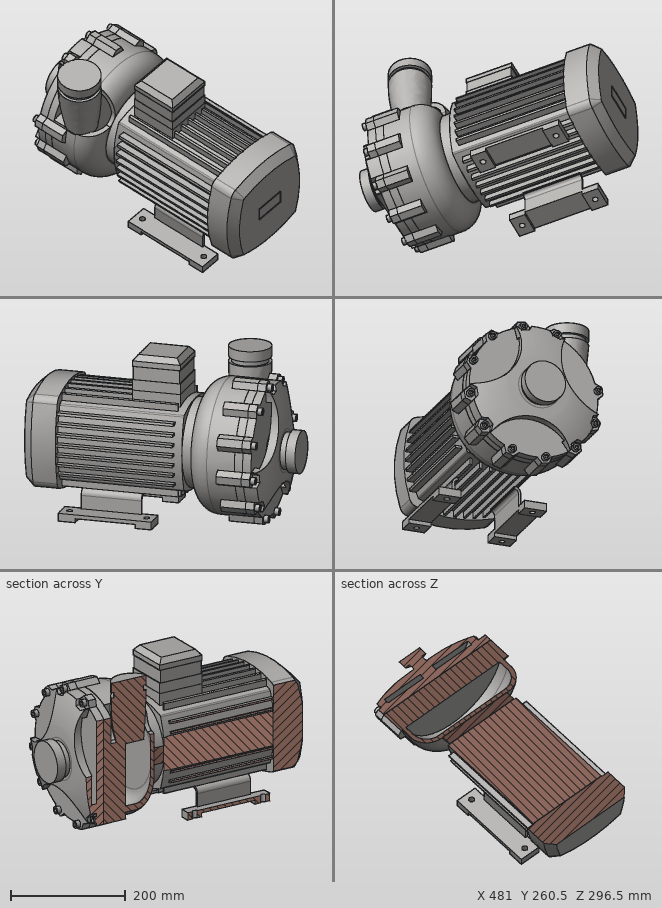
import cadquery as cq
import math

cut_overshoot = 2.5

inlet_collar_end = 17.5
dome_apex_x = 29.0
dome_rim_x = 45.0
cover_face_x = 54.5
volute_start_x = 69.7
volute_flange_end = 84.5
pad_end_x = 115.5
volute_end_x = 174.0
motor_start_x = 193.0
fin_start_x = 207.5
cowl_start_x = 419.0
cowl_edge_x = 463.0
cowl_end_x = 479.5
total_length = 481.0

pipe_collar_diameter = 76.0
pipe_neck_diameter = 66.0
pump_radius = 120.5
dome_flat_radius = 38.5
cavity_radius = 100.5
lobe_radius = 89.0
lobe_centre_radius = 145.7
first_lobe_angle = 35
lobe_count = 3
lobe_angles = [first_lobe_angle + i * 360 / lobe_count for i in range(lobe_count)]

bolt_circle_radius = 121.5
first_bolt_angle = 20
bolt_places = 12
unbolted_place = 4
padless_place = 3
bolt_pitch_angle = 360 / bolt_places
bolted_places = [i for i in range(bolt_places) if i != unbolted_place]
bolt_angles = [first_bolt_angle + i * bolt_pitch_angle for i in bolted_places]
volute_pad_angles = [first_bolt_angle + i * bolt_pitch_angle for i in bolted_places if i != padless_place]
bolt_head_diameter = 13.0
bolt_head_height = 8.0
socket_diameter = 6.5
socket_depth = 4.5
pad_half_depth = 9.5
pad_flat_half_width = 7.0
pad_half_width = 14.5
pad_corner_offset = -1.5

volute_radius = 121.0
volute_fillet = 39.0
volute_bore_diameter = 223.5
volute_back_thickness = 8.5
notch_wall_y = -55.5
notch_wall_foot_z = 68.0
notch_floor_y = -69.5
notch_floor_z = 44.5
notch_rim_y = -115.5
notch_rim_z = 38.5
outlet_x = 121.0
outlet_y = -90.0
outlet_top_z = 156.5
outlet_collar_z = 137.5
outlet_neck_z = 128.5
outlet_waist_y = -87.0
outlet_waist_z = 79.5
outlet_waist_diameter = 71.0
outlet_base_z = 36.0
outlet_base_diameter = 57.5
outlet_base_x = 125.0
outlet_base_y = -88.5

adapter_diameter = 160.0
core_half = 81.5
core_corner = 68.5
frame_fillet = 4.0
fin_tip_half = 93.0
fin_tip_corner = 77.0
cowl_half = 95.5
cowl_corner = 81.5
cowl_fillet = 18.5
cowl_chamfer_width = 15.0
fin_thickness = 4.5
fins_per_side = 7
fin_row_width = 110.5
fin_pitch = fin_row_width / (fins_per_side - 1)
end_plate_width = 56.8
end_plate_height = 26.0

box_length = 87.5
box_width = 86.5
box_floor_z = 98.5
box_waist_z = 118.0
lid_bottom_z = 142.0
lid_top_z = 162.0
lid_chamfer_height = 10.0
lid_chamfer_width = 8.5
waist_end_inset = 1.5
waist_side_inset = 0.5

foot_start_x = 242.5
foot_end_x = 412.0
leg_start_x = 272.0
leg_end_x = 381.5
foot_inner_y = 59.5
foot_outer_y = 101.0
foot_bottom_z = -134.5
foot_top_z = -120.2
foot_relief = 7.0
leg_thickness = 5.0
leg_bend_radius = 12.0
leg_top_z = -83.5
foot_hole_diameter = 10.0


def plane_at(x):
    """Cross-section plane at x, with local x along +Y and local y along +Z."""
    return cq.Workplane("YZ", origin=(x, 0, 0))


def cylinder_x(x_start, x_end, radius):
    return plane_at(x_start).circle(radius).extrude(x_end - x_start)


def disc_z(z_start, z_end, diameter):
    return (cq.Workplane("XY", origin=(outlet_x, outlet_y, z_start))
            .circle(diameter / 2).extrude(z_end - z_start))


def box_between(x0, x1, y0, y1, z0, z1):
    return cq.Workplane("XY").box(x1 - x0, y1 - y0, z1 - z0, centered=False).translate((x0, y0, z0))


def bulged_square(x_start, x_end, half, corner, fillet):
    """Prism along X whose four sides bow out from the corners to half at their middles."""
    return (plane_at(x_start).moveTo(corner, -corner)
            .threePointArc((half, 0), (corner, corner))
            .threePointArc((0, half), (-corner, corner))
            .threePointArc((-half, 0), (-corner, -corner))
            .threePointArc((0, -half), (corner, -corner))
            .close().extrude(x_end - x_start)
            .edges("|X").fillet(fillet))


def polar_point(radius, angle):
    return (radius * math.cos(math.radians(angle)), radius * math.sin(math.radians(angle)))


def bolt_pads(x_start, x_end, angles):
    """Six-sided pads around the bolts at the given angles, each with a flat facing outward."""
    corners = [
        (pad_half_depth, -pad_flat_half_width),
        (pad_half_depth, pad_flat_half_width),
        (pad_corner_offset, pad_half_width),
        (-pad_half_depth, pad_flat_half_width),
        (-pad_half_depth, -pad_flat_half_width),
        (pad_corner_offset, -pad_half_width),
    ]
    pad = (plane_at(x_start).polyline(corners).close().extrude(x_end - x_start)
           .translate((0, bolt_circle_radius, 0)))
    pads = cq.Workplane("XY")
    for angle in angles:
        pads = pads.add(pad.rotate((0, 0, 0), (1, 0, 0), angle))
    return pads.combine()


def bolt_heads():
    points = [polar_point(bolt_circle_radius, angle) for angle in bolt_angles]
    heads = (plane_at(cover_face_x - bolt_head_height).pushPoints(points)
             .circle(bolt_head_diameter / 2).extrude(bolt_head_height))
    sockets = (plane_at(cover_face_x - bolt_head_height).pushPoints(points)
               .circle(socket_diameter / 2).extrude(socket_depth))
    return heads.cut(sockets)


def make_cover():
    """Domed cover with its inlet pipe, three open lobes and the bolt heads."""
    cover = (cq.Workplane("XY").moveTo(dome_apex_x, 0)
             .lineTo(dome_apex_x, dome_flat_radius)
             .tangentArcPoint((dome_rim_x, pump_radius), relative=False)
             .lineTo(volute_start_x, pump_radius)
             .lineTo(volute_start_x, 0)
             .close().revolve(360, (0, 0, 0), (1, 0, 0)))
    cover = cover.cut(cylinder_x(dome_rim_x, cover_face_x, cavity_radius))
    lobes = (plane_at(0).pushPoints([polar_point(lobe_centre_radius, a) for a in lobe_angles])
             .circle(lobe_radius).extrude(cover_face_x))
    cover = cover.cut(lobes).cut(bolt_pads(0, cover_face_x, bolt_angles))
    cover = cover.union(bolt_pads(cover_face_x, volute_start_x, bolt_angles)).union(bolt_heads())
    cover = cover.union(cylinder_x(0, inlet_collar_end, pipe_collar_diameter / 2))
    return cover.union(cylinder_x(inlet_collar_end, cover_face_x, pipe_neck_diameter / 2))


def make_outlet():
    """Round outlet that narrows toward its foot, with a neck and collar at its mouth."""
    pipe = (cq.Workplane("XY", origin=(outlet_x, outlet_y, outlet_neck_z))
            .circle(pipe_collar_diameter / 2)
            .workplane(offset=outlet_waist_z - outlet_neck_z)
            .center(0, outlet_waist_y - outlet_y)
            .circle(outlet_waist_diameter / 2)
            .workplane(offset=outlet_base_z - outlet_waist_z)
            .center(outlet_base_x - outlet_x, outlet_base_y - outlet_waist_y)
            .circle(outlet_base_diameter / 2).loft())
    return (pipe.union(disc_z(outlet_neck_z, outlet_collar_z, pipe_neck_diameter))
            .union(disc_z(outlet_collar_z, outlet_top_z, pipe_collar_diameter)))


def volute_cavity():
    """Hollow behind the volute wall, rounded like the outside."""
    cavity_end = volute_end_x - volute_back_thickness
    bore_radius = volute_bore_diameter / 2
    return (cylinder_x(pad_end_x, cavity_end, bore_radius)
            .edges(">X").fillet(volute_fillet - volute_back_thickness))


def outlet_notch():
    """Space for the outlet: an upright wall that curves into a sloping floor."""
    slope = (notch_rim_z - notch_floor_z) / (notch_rim_y - notch_floor_y)
    outside = 2 * volute_radius
    return (plane_at(volute_flange_end).moveTo(notch_wall_y, outside)
            .lineTo(notch_wall_y, notch_wall_foot_z)
            .tangentArcPoint((notch_floor_y, notch_floor_z), relative=False)
            .lineTo(-outside, notch_floor_z + slope * (-outside - notch_floor_y))
            .lineTo(-outside, outside)
            .close().extrude(volute_end_x + cut_overshoot - volute_flange_end))


def make_volute():
    """Hollow volute casing with its bolt pads and outlet."""
    volute = cylinder_x(volute_flange_end, volute_end_x, volute_radius).edges(">X").fillet(volute_fillet)
    volute = volute.union(cylinder_x(volute_start_x, volute_flange_end, pump_radius))
    volute = volute.union(bolt_pads(volute_start_x, pad_end_x, volute_pad_angles))
    return volute.cut(volute_cavity()).cut(outlet_notch()).union(make_outlet())


def make_adapter():
    return cylinder_x(volute_end_x, motor_start_x, adapter_diameter / 2)


def fin_zones():
    """Full-width slabs in which the fins of all four sides lie."""
    length = cowl_start_x - fin_start_x
    span = 2 * cowl_half
    middle_x = fin_start_x + length / 2
    zones = cq.Workplane("XY")
    for i in range(fins_per_side):
        offset = i * fin_pitch - fin_row_width / 2
        zones = zones.add(cq.Workplane("XY").box(length, span, fin_thickness)
                          .translate((middle_x, 0, offset)))
        zones = zones.add(cq.Workplane("XY").box(length, fin_thickness, span)
                          .translate((middle_x, offset, 0)))
    return zones.combine()


def make_motor():
    """Finned motor frame with the pedestal of its terminal box."""
    fin_envelope = bulged_square(fin_start_x, cowl_start_x, fin_tip_half, fin_tip_corner, frame_fillet)
    fins = fin_envelope.intersect(fin_zones())
    pedestal = box_between(fin_start_x, fin_start_x + box_length, -box_width / 2, box_width / 2,
                           0, box_floor_z)
    core = bulged_square(motor_start_x, cowl_start_x, core_half, core_corner, frame_fillet)
    return core.union(fins).union(pedestal)


def make_cowl():
    cowl = bulged_square(cowl_start_x, cowl_end_x, cowl_half, cowl_corner, cowl_fillet)
    cowl = cowl.faces(">X").chamfer(cowl_end_x - cowl_edge_x, cowl_chamfer_width)
    plate = plane_at(cowl_end_x).rect(end_plate_width, end_plate_height).extrude(total_length - cowl_end_x)
    return cowl.union(plate)


def box_layer(z_start, z_end, end_inset=0, side_inset=0):
    half_width = box_width / 2 - side_inset
    return box_between(fin_start_x + end_inset, fin_start_x + box_length - end_inset,
                       -half_width, half_width, z_start, z_end)


def make_terminal_box():
    waist = box_layer(box_waist_z, lid_bottom_z, waist_end_inset, waist_side_inset)
    return box_layer(box_floor_z, box_waist_z).union(waist)


def make_terminal_lid():
    return (box_layer(lid_bottom_z, lid_top_z)
            .faces(">Z").chamfer(lid_chamfer_height, lid_chamfer_width))


def make_foot(side, motor):
    """Foot plate with a leg that bends inward under the motor; side is -1 or +1 along Y."""
    plate = box_between(foot_start_x, foot_end_x, foot_inner_y, foot_outer_y, foot_bottom_z, foot_top_z)
    plate = plate.cut(box_between(leg_start_x, leg_end_x, 0, foot_outer_y + cut_overshoot,
                                  foot_bottom_z, foot_bottom_z + foot_relief))
    pad_length = leg_start_x - foot_start_x
    hole_y = (foot_inner_y + foot_outer_y) / 2
    hole_xs = (foot_start_x + pad_length / 2, foot_end_x - pad_length / 2)
    plate = plate.cut(cq.Workplane("XY", origin=(0, 0, foot_bottom_z))
                      .pushPoints([(x, hole_y) for x in hole_xs])
                      .circle(foot_hole_diameter / 2).extrude(foot_top_z - foot_bottom_z))
    leg_outer_y = foot_inner_y + leg_thickness
    bend_inner = leg_bend_radius - leg_thickness
    bend_y = leg_outer_y - leg_bend_radius
    bend_z = leg_top_z - leg_bend_radius
    diagonal = math.sqrt(0.5)
    leg = (plane_at(leg_start_x).moveTo(foot_inner_y, foot_top_z)
           .lineTo(leg_outer_y, foot_top_z)
           .lineTo(leg_outer_y, bend_z)
           .threePointArc((bend_y + leg_bend_radius * diagonal, bend_z + leg_bend_radius * diagonal),
                          (bend_y, leg_top_z))
           .lineTo(bend_y, leg_top_z - leg_thickness)
           .threePointArc((bend_y + bend_inner * diagonal, bend_z + bend_inner * diagonal),
                          (foot_inner_y, bend_z))
           .close().extrude(leg_end_x - leg_start_x))
    foot = plate.union(leg)
    if side < 0:
        foot = foot.mirror("XZ")
    return foot.cut(motor)


cover = make_cover()
volute = make_volute()
adapter = make_adapter()
motor = make_motor()
cowl = make_cowl()
terminal_box = make_terminal_box()
terminal_lid = make_terminal_lid()
feet = [make_foot(side, motor) for side in (-1, 1)]

result = cq.Compound.makeCompound([
    cover.val(),
    volute.val(),
    adapter.val(),
    motor.val(),
    cowl.val(),
    terminal_box.val(),
    terminal_lid.val(),
    *[foot.val() for foot in feet],
])